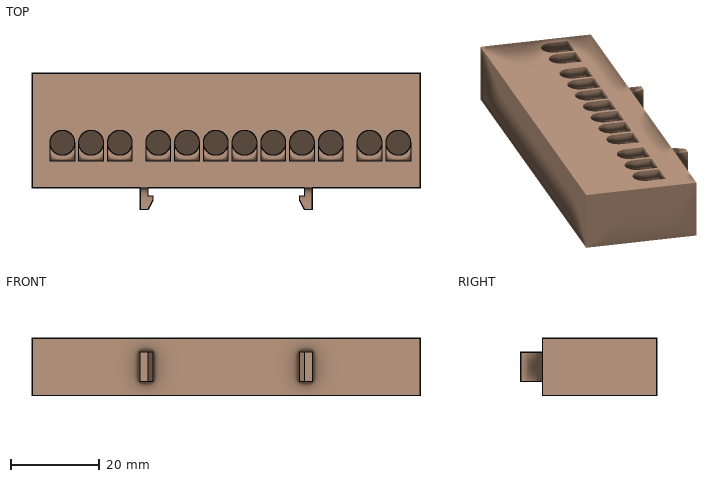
import cadquery as cq

body_length = 88.0
body_depth = 26.0
body_height = 13.0

socket_width = 5.6
socket_pitch = 6.5
socket_row_y = 10.2
socket_front_y = 6.1
recess_depth = 2.0
bore_depth = 10.0
socket_groups = [(6.9, 3), (28.6, 7), (76.5, 2)]

clip_outer_x = 24.5
clip_reach = 4.9
clip_height = 6.7
arm_thickness = 1.85
hook_overhang = 1.1
hook_start = 1.85
nose_taper_length = 2.2


def make_body():
    return cq.Workplane("XY").box(body_length, body_depth, body_height, centered=False)


def cut_socket(body, center_x):
    """Cut a U-shaped recess, square at the front, then a round blind bore through its floor."""
    radius = socket_width / 2
    front_length = socket_row_y - socket_front_y
    top = cq.Workplane("XY", origin=(center_x, socket_row_y, body_height))
    recess = (
        top.moveTo(-radius, -front_length)
        .lineTo(radius, -front_length)
        .lineTo(radius, 0)
        .threePointArc((0, radius), (-radius, 0))
        .close()
        .extrude(-recess_depth)
    )
    bore = top.circle(radius).extrude(-bore_depth)
    return body.cut(recess, clean=False).cut(bore, clean=False)


def make_left_clip():
    """A straight arm whose hook points inward, with a nose tapered for easy insertion."""
    arm_inner_x = clip_outer_x + arm_thickness
    hook_x = arm_inner_x + hook_overhang
    clip_bottom = (body_height - clip_height) / 2
    return (
        cq.Workplane("XY", origin=(0, 0, clip_bottom))
        .moveTo(clip_outer_x, 0)
        .lineTo(arm_inner_x, 0)
        .lineTo(arm_inner_x, -hook_start)
        .lineTo(hook_x, -hook_start)
        .lineTo(hook_x, nose_taper_length - clip_reach)
        .lineTo(arm_inner_x, -clip_reach)
        .lineTo(clip_outer_x, -clip_reach)
        .close()
        .extrude(clip_height)
    )


left_clip = make_left_clip()
right_clip = left_clip.mirror("YZ", (body_length / 2, 0, 0))
result = make_body().union(left_clip).union(right_clip)

for first_x, count in socket_groups:
    for index in range(count):
        result = cut_socket(result, first_x + index * socket_pitch)